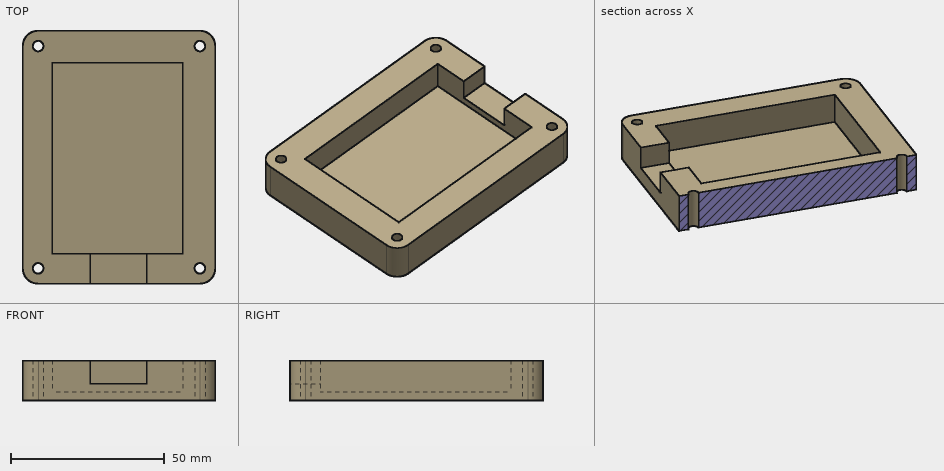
import cadquery as cq

width = 62.55
length = 82.2
height = 13.0
corner_radius = 5.0

hole_diameter = 3.4

pocket_width = 42.5
pocket_length = 62.0
pocket_depth = 10.0
pocket_center_x = -0.5
pocket_center_y = -0.3

notch_width = 18.3
notch_depth = 7.5
notch_center_x = -0.2


def make_block():
    block = cq.Workplane("XY").box(width, length, height, centered=(True, True, False))
    return block.edges("|Z").fillet(corner_radius)


def make_pocket():
    pocket = cq.Workplane("XY").box(
        pocket_width, pocket_length, pocket_depth, centered=(True, True, False)
    )
    return pocket.translate((pocket_center_x, pocket_center_y, height - pocket_depth))


def make_notch():
    notch_length = length / 2 + pocket_center_y
    notch = cq.Workplane("XY").box(
        notch_width, notch_length, notch_depth, centered=(True, False, False)
    )
    return notch.translate((notch_center_x, -length / 2, height - notch_depth))


def make_corner_holes():
    spacing_x = width - 2 * corner_radius
    spacing_y = length - 2 * corner_radius
    return (
        cq.Workplane("XY")
        .rect(spacing_x, spacing_y, forConstruction=True)
        .vertices()
        .circle(hole_diameter / 2)
        .extrude(height)
    )


result = make_block().cut(make_pocket()).cut(make_notch()).cut(make_corner_holes())